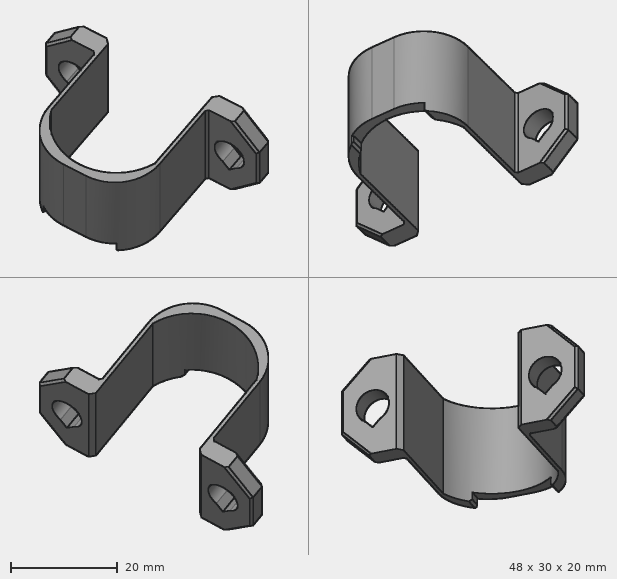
import cadquery as cq
import math

length = 48.0
depth = 30.0
height = 20.0

flange_thickness = 4.0
flange_corner_cut = 5.5
flange_edge_chamfer = 0.5
mouth_chamfer = 1.0
root_chamfer = 0.5

outer_half_width = 12.5
inner_half_width = 11.65
outer_corner_radius = 10.0
bore_radius = 12.5
crown_thickness = 1.7

hole_offset = 17.5
hole_radius = 3.3
hole_tip_drop = 4.45

notch_half_width = 7.95
notch_height = 2.0
notch_bevel = 0.3
notch_bevel_start = 1.8
notch_foot_chamfer = 0.55


def make_flange_blank():
    """One plate spanning both flanges, with its corners cut and end edges chamfered."""
    plate = (
        cq.Workplane("XY")
        .box(length, flange_thickness, height, centered=(True, False, False))
        .translate((0, -flange_thickness, 0))
        .edges("|Y")
        .chamfer(flange_corner_cut)
    )
    rim_edges = plate.edges("(<Y or >Y) and (not |X)")
    return rim_edges.chamfer(flange_edge_chamfer)


def make_saddle_blank():
    """Solid block with rounded front corners, filling the width of the saddle."""
    return (
        cq.Workplane("XY")
        .box(2 * outer_half_width, depth, height, centered=(True, False, False))
        .translate((0, -depth, 0))
        .edges("|Z and <Y")
        .fillet(outer_corner_radius)
    )


def make_channel():
    """Straight-sided opening that ends in an arc and widens at the mounting face."""
    bore_center_y = -depth + crown_thickness + bore_radius
    arc_start_y = bore_center_y - math.sqrt(bore_radius**2 - inner_half_width**2)
    mouth_half_width = inner_half_width + mouth_chamfer
    return (
        cq.Workplane("XY")
        .moveTo(-mouth_half_width, 0)
        .lineTo(-inner_half_width, -mouth_chamfer)
        .lineTo(-inner_half_width, arc_start_y)
        .threePointArc((0, crown_thickness - depth), (inner_half_width, arc_start_y))
        .lineTo(inner_half_width, -mouth_chamfer)
        .lineTo(mouth_half_width, 0)
        .close()
        .extrude(height)
    )


def make_root_fill(side):
    """Triangular fill in the corner between a flange and the saddle wall."""
    wall_x = side * outer_half_width
    return (
        cq.Workplane("XY")
        .moveTo(wall_x, -flange_thickness)
        .lineTo(wall_x + side * root_chamfer, -flange_thickness)
        .lineTo(wall_x, -flange_thickness - root_chamfer)
        .close()
        .extrude(height)
    )


def make_screw_hole(side):
    """Round hole joined to a square standing on its corner, which forms the point."""
    center = (side * hole_offset, height / 2)
    tip_y = center[1] - hole_tip_drop
    half_tip = hole_tip_drop / 2
    bore = cq.Workplane("XZ").center(*center).circle(hole_radius).extrude(flange_thickness)
    point = (
        cq.Workplane("XZ")
        .moveTo(center[0], tip_y)
        .lineTo(center[0] + half_tip, tip_y + half_tip)
        .lineTo(center[0], center[1])
        .lineTo(center[0] - half_tip, tip_y + half_tip)
        .close()
        .extrude(flange_thickness)
    )
    return bore.union(point)


def make_notch():
    """Crown notch with bevelled outer side edges and chamfered feet."""
    bevelled_half_width = notch_half_width + notch_bevel
    bevel_outer_y = -depth + notch_bevel_start
    bevel_inner_y = bevel_outer_y + notch_bevel
    cut_back_y = -depth + outer_corner_radius
    foot_half_width = notch_half_width + notch_foot_chamfer
    slot = (
        cq.Workplane("XY")
        .moveTo(-bevelled_half_width, -depth)
        .lineTo(-bevelled_half_width, bevel_outer_y)
        .lineTo(-notch_half_width, bevel_inner_y)
        .lineTo(-notch_half_width, cut_back_y)
        .lineTo(notch_half_width, cut_back_y)
        .lineTo(notch_half_width, bevel_inner_y)
        .lineTo(bevelled_half_width, bevel_outer_y)
        .lineTo(bevelled_half_width, -depth)
        .close()
        .extrude(notch_height)
    )
    feet = (
        cq.Workplane("XZ", origin=(0, cut_back_y, 0))
        .moveTo(-foot_half_width, 0)
        .lineTo(-notch_half_width, notch_foot_chamfer)
        .lineTo(notch_half_width, notch_foot_chamfer)
        .lineTo(foot_half_width, 0)
        .close()
        .extrude(outer_corner_radius)
    )
    return slot.union(feet)


body = make_flange_blank().union(make_saddle_blank())
for side in (-1, 1):
    body = body.union(make_root_fill(side))
    body = body.cut(make_screw_hole(side))

result = body.cut(make_channel()).cut(make_notch())